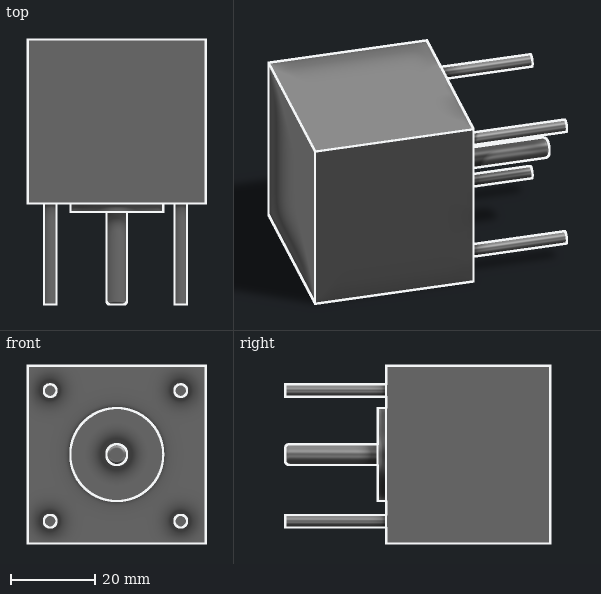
import cadquery as cq

body_width = 42.3
total_length = 63.0
front_reach = 24.0
body_length = total_length - front_reach

boss_diameter = 22.1
boss_height = 2.0
shaft_diameter = 5.0
shaft_tip_fillet = 1.0

pin_diameter = 3.0
pin_spacing = 31.0
pin_offset_x = -0.3
pin_offset_z = -0.3


def front_cylinder(diameter, length, x=0.0, z=0.0):
    """Cylinder that starts on the front face and runs toward -Y."""
    return cq.Workplane("XZ").center(x, z).circle(diameter / 2).extrude(length)


def make_body():
    return cq.Workplane("XZ").rect(body_width, body_width).extrude(-body_length)


def make_shaft():
    shaft = front_cylinder(shaft_diameter, front_reach)
    return shaft.faces("<Y").edges().fillet(shaft_tip_fillet)


result = make_body()
result = result.union(front_cylinder(boss_diameter, boss_height))
result = result.union(make_shaft())

for side_x in (-1, 1):
    for side_z in (-1, 1):
        pin_x = pin_offset_x + side_x * pin_spacing / 2
        pin_z = pin_offset_z + side_z * pin_spacing / 2
        result = result.union(front_cylinder(pin_diameter, front_reach, pin_x, pin_z))